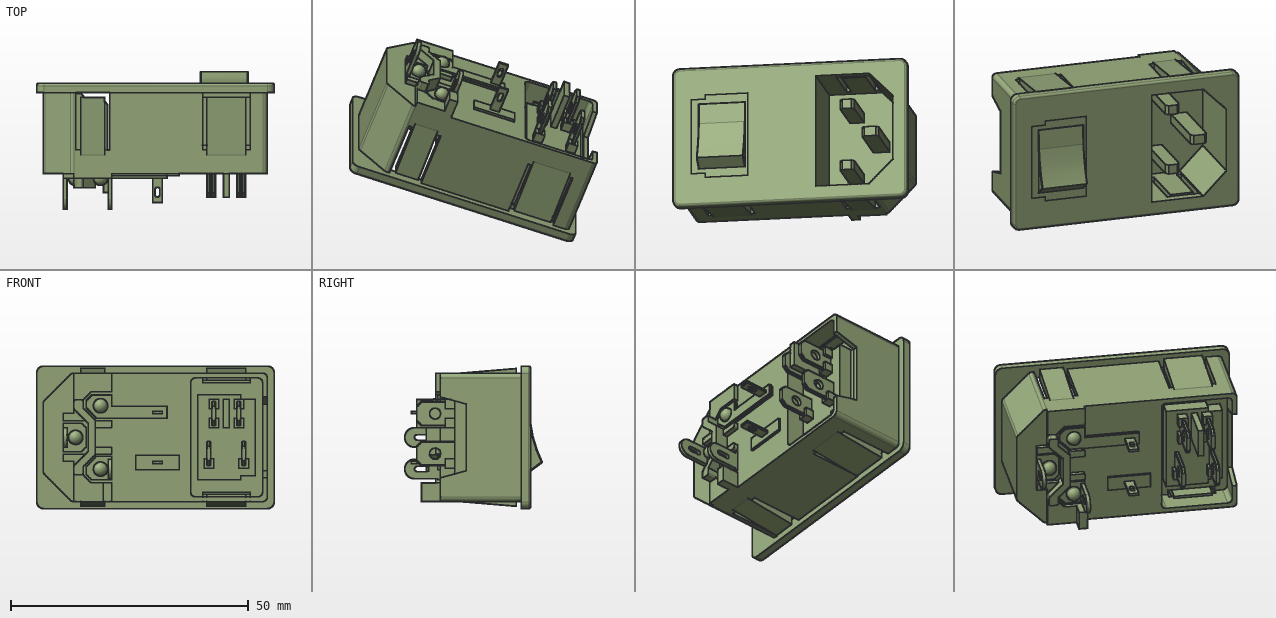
import cadquery as cq
import math


PANEL_LENGTH = 50.0
PANEL_WIDTH = 30.0
PANEL_THICKNESS = 2.0
PANEL_CORNER_RADIUS = 1.5
PANEL_EDGE_RADIUS = 0.5

BODY_REAR = 19.0
BODY_HALF_WIDTH = 13.5
BODY_LEFT = -23.6
BODY_RIGHT = 23.5
BODY_BEVEL = 6.0
BODY_EDGE_RADIUS = 1.0
WALL = 1.0

BAY_LEFT = 7.4
BAY_RIGHT = BODY_RIGHT - WALL
BAY_HALF_WIDTH = BODY_HALF_WIDTH - WALL
BAY_FLOOR = 13.0
BAY_CORNER_RADIUS = 1.0
END_OPENING_START = 13.5
END_OPENING_REAR_HALF_WIDTH = 8.5
END_OPENING_FRONT_HALF_WIDTH = 7.0

INLET_WALL = 1.5
INLET_LENGTH = 16.5
INLET_LEFT = BODY_LEFT + INLET_WALL
INLET_RIGHT = INLET_LEFT + INLET_LENGTH
INLET_HALF_WIDTH = BODY_HALF_WIDTH - INLET_WALL
INLET_DEPTH = 16.0

INLET_CLIP = (-13.2, 7.1, 5.05)
SWITCH_CLIP = (14.9, 10.0, 8.2)
CLIP_FRONT = 3.0
CLIP_REAR = 15.0
CLIP_INNER = 12.0
CLIP_TIP = 14.5
SLOT_REAR = 14.0
SWITCH_RELIEF_INNER = 11.5

DECK_TOP = 20.0
DECK_LEFT = -17.15
DECK_RIGHT = -9.15
DECK_INNER_Z = 9.55
BARRIER_TOP = 22.0
BARRIER_END_X = -15.2
BARRIER_END_Z = 7.9
RIB_SPLIT_Z = 3.55
RIB_WIDTH = 1.5
EARTH_RIB_TOP_Z = RIB_SPLIT_Z + RIB_WIDTH
EARTH_RIB_RIGHT = -14.5
GUIDE_LEFT = -13.0
GUIDE_CORNER_RADIUS = 0.3
BARRIER_CORNER_RADIUS = 0.4
PLATE_TOP = 19.5
LIVE_PAD_INSET = 0.1
RIVET_RADIUS = 1.5
CONTACT_Z = 6.65
CONTACT_OUTER_Z = 8.95
CONTACT_X = -11.55
EARTH_X = -16.8
EARTH_PLATE_LEFT = -19.4
EARTH_PLATE_RIGHT = -14.6
EARTH_PLATE_BEVEL = 0.95
EARTH_PLATE_HALF_WIDTH = 3.0
LIVE_STRIP_RIGHT = 2.45
LIVE_STRIP_INNER = 4.0
LIVE_STRIP_OUTER = 6.55

LUG_THICKNESS = 0.8
LUG_RADIUS = 2.05
LUG_END = 26.5
LUG_SLOT_START = 21.4
LUG_SLOT_END = 24.4
LUG_SLOT_WIDTH = 1.1

FUSE_TAB_X = 0.4
FUSE_TAB_Z = 5.25
FUSE_TAB_WIDTH = 2.05
FUSE_TAB_THICKNESS = 0.5
FUSE_TAB_END = 25.1
FUSE_HOLE_DEPTH = 22.9
FUSE_HOLE_LENGTH = 2.05
FUSE_HOLE_WIDTH = 0.95
FUSE_PAD_LENGTH = 9.1
FUSE_PAD_WIDTH = 3.0

POWER_PIN = (-10.05, 3.0, 3.85)
EARTH_PIN = (-15.05, 3.5, 2.15)
PIN_THICKNESS = 2.0
PIN_TIP_BEVEL_X = 0.55
PIN_TIP_BEVEL_Y = 0.7

POST_WIDTH = 1.8
POST_END = 23.0

SWITCH_LEFT = 8.9
SWITCH_RIGHT = 20.95
SWITCH_STEP_X = 17.95
SWITCH_HALF_WIDTH = 8.95
SWITCH_STEP_HALF_WIDTH = 8.05
SWITCH_REAR = 16.0
BLADE_END = 24.0
BLADE_THICKNESS = 0.8
BLADE_BEVEL = 0.15
BLADE_WIDTH = 5.1
BLADE_CORNER = 1.0
BLADE_HOLE_DEPTH = 20.1
BLADE_HOLE_DIAMETER = 2.3
BLOCK_SIZE = 2.0
BLOCK_TOP = 18.0
UPPER_BLADE_Z = 5.0
LOWER_BLADE_Z = -3.4
UPPER_BLADES_X = (12.25, 17.5)
LOWER_BLADES_X = (11.2, 18.55)
UPPER_BLOCK_OFFSETS = (2.0, -2.0)
LOWER_BLOCK_OFFSETS = (-2.05,)
DIVIDER_X = 14.9
DIVIDER_THICKNESS = 1.25
DIVIDER_WIDTH = 6.0

ROCKER_X = 14.45
ROCKER_LENGTH = 10.0
ROCKER_HALF_WIDTH = 7.05
ROCKER_BASE = 4.0
ROCKER_TIP_Y = 2.45
ROCKER_TIP_Z = -5.25
ROCKER_FACE_MIDDLE = (0.9, -1.35)
ROCKER_FACE_END = (0.0, 2.85)
ROCKER_LOW_EDGE_Y = -0.25
ROCKER_BEVEL = 0.15


def sketch_plane(depth):
    """Plane parallel to the panel; extrusions from it run to the rear."""
    return cq.Workplane("XZ").workplane(offset=depth)


def prism(outline, start, end):
    """Closed X-Z outline between two depths."""
    return sketch_plane(start).polyline(outline).close().extrude(end - start)


def block(x_min, x_max, z_min, z_max, start, end):
    """Box between two depths."""
    return prism([(x_min, z_min), (x_max, z_min), (x_max, z_max), (x_min, z_max)], start, end)


def flipped(outline):
    """The same outline mirrored in Z."""
    return [(x, -z) for x, z in outline]


def flange():
    plate = sketch_plane(0).rect(PANEL_LENGTH, PANEL_WIDTH).extrude(PANEL_THICKNESS)
    plate = plate.edges("|Y").fillet(PANEL_CORNER_RADIUS)
    return plate.faces(">Y").edges().fillet(PANEL_EDGE_RADIUS)


def body_shell():
    bevel_x = BODY_LEFT + BODY_BEVEL
    bevel_z = BODY_HALF_WIDTH - BODY_BEVEL
    outline = [
        (bevel_x, BODY_HALF_WIDTH),
        (BODY_RIGHT, BODY_HALF_WIDTH),
        (BODY_RIGHT, -BODY_HALF_WIDTH),
        (bevel_x, -BODY_HALF_WIDTH),
        (BODY_LEFT, -bevel_z),
        (BODY_LEFT, bevel_z),
    ]
    return prism(outline, PANEL_THICKNESS, BODY_REAR).edges("|Y").fillet(BODY_EDGE_RADIUS)


def switch_bay():
    bay = block(BAY_LEFT, BAY_RIGHT, -BAY_HALF_WIDTH, BAY_HALF_WIDTH, BAY_FLOOR, BODY_REAR)
    return bay.edges("|Y").fillet(BAY_CORNER_RADIUS)


def end_wall_opening():
    """Opening in the right end wall that widens toward the rear."""
    outline = [
        (-END_OPENING_START, -END_OPENING_FRONT_HALF_WIDTH),
        (-END_OPENING_START, END_OPENING_FRONT_HALF_WIDTH),
        (-BODY_REAR, END_OPENING_REAR_HALF_WIDTH),
        (-BODY_REAR, -END_OPENING_REAR_HALF_WIDTH),
    ]
    plane = cq.Workplane("YZ").workplane(offset=BAY_RIGHT - WALL)
    return plane.polyline(outline).close().extrude(BODY_RIGHT - BAY_RIGHT + 2 * WALL)


def inlet_recess():
    """Front recess whose two left corners follow the bevels of the body."""
    recess = block(INLET_LEFT, INLET_RIGHT, -INLET_HALF_WIDTH, INLET_HALF_WIDTH, 0, INLET_DEPTH)
    inner_bevel = BODY_BEVEL - INLET_WALL * (2 - math.sqrt(2))
    return recess.edges("|Y and <X").chamfer(inner_bevel)


def on_both_walls(upper):
    return upper.union(upper.mirror("XY"))


def clip_slots(clip):
    """Slots through the two long walls around the clips."""
    centre, length, _ = clip
    start, end = centre - length / 2, centre + length / 2
    return on_both_walls(block(start, end, CLIP_INNER, BODY_HALF_WIDTH, PANEL_THICKNESS, SLOT_REAR))


def switch_clip_reliefs():
    """Clearance under the clips beside the switch."""
    centre, length, _ = SWITCH_CLIP
    start, end = centre - length / 2, centre + length / 2
    return on_both_walls(block(start, end, SWITCH_RELIEF_INNER, CLIP_INNER, CLIP_FRONT, SLOT_REAR))


def clips(clip):
    """Snap wedges that rise toward the flange."""
    centre, _, length = clip
    profile = [
        (-CLIP_REAR, CLIP_INNER),
        (-CLIP_REAR, BODY_HALF_WIDTH),
        (-CLIP_FRONT, CLIP_TIP),
        (-CLIP_FRONT, CLIP_INNER),
    ]
    plane = cq.Workplane("YZ").workplane(offset=centre - length / 2)
    return on_both_walls(plane.polyline(profile).close().extrude(length))


def inlet_pin(pin, z):
    """Flat pin in the recess with two bevelled tip corners."""
    right, width, tip = pin
    shank = block(right - width, right, z - PIN_THICKNESS / 2, z + PIN_THICKNESS / 2, tip, INLET_DEPTH)
    return shank.faces(">Y").edges("|Z").chamfer(PIN_TIP_BEVEL_Y, PIN_TIP_BEVEL_X)


DECK_OUTLINE = [
    (DECK_LEFT, BODY_HALF_WIDTH),
    (DECK_RIGHT, BODY_HALF_WIDTH),
    (DECK_RIGHT, DECK_INNER_Z),
    (-13.55, DECK_INNER_Z),
    (BARRIER_END_X, BARRIER_END_Z),
    (BARRIER_END_X, EARTH_RIB_TOP_Z),
    (DECK_LEFT, EARTH_RIB_TOP_Z),
]
BARRIER_HALF_OUTLINE = [
    (-12.65, 3.6),
    (BARRIER_END_X, 6.15),
    (BARRIER_END_X, BARRIER_END_Z),
    (DECK_LEFT, BARRIER_END_Z),
    (DECK_LEFT, 5.95),
    (-14.15, 2.95),
]
CONTACT_OUTLINE = [
    (DECK_RIGHT, LIVE_STRIP_INNER),
    (-12.45, LIVE_STRIP_INNER),
    (-14.6, 6.2),
    (-14.6, 7.75),
    (-13.4, CONTACT_OUTER_Z),
    (DECK_RIGHT, CONTACT_OUTER_Z),
]
LIVE_OUTLINE = [
    (LIVE_STRIP_RIGHT, LIVE_STRIP_INNER),
    *CONTACT_OUTLINE[1:],
    (DECK_RIGHT, LIVE_STRIP_OUTER),
    (LIVE_STRIP_RIGHT, LIVE_STRIP_OUTER),
]
EARTH_HALF_OUTLINE = [
    (EARTH_PLATE_LEFT, EARTH_PLATE_HALF_WIDTH),
    (EARTH_PLATE_RIGHT - EARTH_PLATE_BEVEL, EARTH_PLATE_HALF_WIDTH),
    (EARTH_PLATE_RIGHT, EARTH_PLATE_HALF_WIDTH - EARTH_PLATE_BEVEL),
]
EARTH_OUTLINE = EARTH_HALF_OUTLINE + flipped(EARTH_HALF_OUTLINE)[::-1]


def live_plate():
    """Long plate level with the deck, on a pad that is set back slightly all round."""
    pad = sketch_plane(BODY_REAR).polyline(LIVE_OUTLINE).close().offset2D(-LIVE_PAD_INSET, "intersection")
    return pad.extrude(PLATE_TOP - BODY_REAR).union(prism(LIVE_OUTLINE, PLATE_TOP, DECK_TOP))


def rivet(x, z, base):
    """Half-ball rivet head on a round shank that stands on a contact plate."""
    ball = cq.Workplane("XY").sphere(RIVET_RADIUS).translate((x, -DECK_TOP, z))
    reach = 2 * RIVET_RADIUS
    rear_space = block(x - reach, x + reach, z - reach, z + reach, DECK_TOP, DECK_TOP + reach)
    head = ball.intersect(rear_space)
    shank = sketch_plane(base).center(x, z).circle(RIVET_RADIUS).extrude(DECK_TOP - base)
    return head.union(shank)


def solder_lug(x_min, z):
    """Upright lug with a round end and a long slot."""
    plane = cq.Workplane("YZ", origin=(x_min, 0, z))
    arc_start = LUG_RADIUS - LUG_END
    lug = (
        plane.moveTo(-PLATE_TOP, -LUG_RADIUS)
        .lineTo(arc_start, -LUG_RADIUS)
        .threePointArc((-LUG_END, 0), (arc_start, LUG_RADIUS))
        .lineTo(-PLATE_TOP, LUG_RADIUS)
        .close()
        .extrude(LUG_THICKNESS)
    )
    slot_centre = -(LUG_SLOT_START + LUG_SLOT_END) / 2
    slot_length = LUG_SLOT_END - LUG_SLOT_START
    slot = plane.center(slot_centre, 0).slot2D(slot_length, LUG_SLOT_WIDTH).extrude(LUG_THICKNESS)
    return lug.cut(slot)


def fuse_tab(z):
    """Flat tab with a long hole."""
    tab = block(
        FUSE_TAB_X - FUSE_TAB_WIDTH / 2,
        FUSE_TAB_X + FUSE_TAB_WIDTH / 2,
        z - FUSE_TAB_THICKNESS / 2,
        z + FUSE_TAB_THICKNESS / 2,
        BODY_REAR,
        FUSE_TAB_END,
    )
    hole = (
        cq.Workplane("XY", origin=(FUSE_TAB_X, -FUSE_HOLE_DEPTH, z - FUSE_TAB_THICKNESS / 2))
        .slot2D(FUSE_HOLE_LENGTH, FUSE_HOLE_WIDTH, 90)
        .extrude(FUSE_TAB_THICKNESS)
    )
    return tab.cut(hole)


def fuse_pad():
    """Low pad under the fuse tab on the neutral side."""
    plane = sketch_plane(BODY_REAR).center(FUSE_TAB_X, -FUSE_TAB_Z)
    return plane.rect(FUSE_PAD_LENGTH, FUSE_PAD_WIDTH).extrude(PLATE_TOP - BODY_REAR)


def deck_ribs():
    """Short ribs beside the earth plate and beside the two power contacts."""
    earth_rib = block(
        EARTH_PLATE_LEFT, EARTH_RIB_RIGHT, RIB_SPLIT_Z, EARTH_RIB_TOP_Z, BODY_REAR, DECK_TOP
    )
    guide = block(GUIDE_LEFT, DECK_RIGHT, RIB_SPLIT_Z - RIB_WIDTH, RIB_SPLIT_Z, BODY_REAR, DECK_TOP)
    guide = guide.edges("|Y and >X").fillet(GUIDE_CORNER_RADIUS)
    return on_both_walls(earth_rib.union(guide))


def barrier():
    """Tall bent wall between the earth contact and the two power contacts, rounded at both ends."""
    outline = BARRIER_HALF_OUTLINE + flipped(BARRIER_HALF_OUTLINE)[::-1]
    wall = prism(outline, BODY_REAR, BARRIER_TOP)
    wall = wall.faces("<X").edges("|Y").fillet(BARRIER_CORNER_RADIUS)
    return wall.faces(">Z or <Z").edges("|Y and >X").fillet(BARRIER_CORNER_RADIUS)


def terminal_deck():
    deck = prism(DECK_OUTLINE, BODY_REAR, DECK_TOP)
    deck = deck.union(prism(flipped(DECK_OUTLINE), BODY_REAR, DECK_TOP))
    deck = deck.union(barrier()).union(deck_ribs()).union(live_plate())
    for outline in (flipped(CONTACT_OUTLINE), EARTH_OUTLINE):
        deck = deck.union(prism(outline, BODY_REAR, PLATE_TOP))
    deck = deck.union(rivet(CONTACT_X, CONTACT_Z, BODY_REAR))
    deck = deck.union(rivet(CONTACT_X, -CONTACT_Z, PLATE_TOP))
    deck = deck.union(rivet(EARTH_X, 0, PLATE_TOP))
    deck = deck.union(solder_lug(EARTH_PLATE_LEFT, 0))
    deck = deck.union(solder_lug(DECK_RIGHT - LUG_THICKNESS, -CONTACT_Z))
    for z in (FUSE_TAB_Z, -FUSE_TAB_Z):
        deck = deck.union(fuse_tab(z))
    post = block(
        DECK_RIGHT - POST_WIDTH, DECK_RIGHT, -BODY_HALF_WIDTH, -DECK_INNER_Z, BODY_REAR, POST_END
    )
    return deck.union(fuse_pad()).union(post)


def switch_block(start, end):
    """Switch body outline, narrower at its right end."""
    upper = [
        (SWITCH_LEFT, SWITCH_HALF_WIDTH),
        (SWITCH_STEP_X, SWITCH_HALF_WIDTH),
        (SWITCH_STEP_X, SWITCH_STEP_HALF_WIDTH),
        (SWITCH_RIGHT, SWITCH_STEP_HALF_WIDTH),
    ]
    return prism(upper + flipped(upper)[::-1], start, end)


def make_housing():
    housing = flange().union(body_shell())
    housing = housing.cut(switch_bay()).cut(end_wall_opening()).cut(inlet_recess())
    for clip in (INLET_CLIP, SWITCH_CLIP):
        housing = housing.cut(clip_slots(clip))
    housing = housing.cut(switch_clip_reliefs())
    for clip in (INLET_CLIP, SWITCH_CLIP):
        housing = housing.union(clips(clip))
    for pin, z in ((POWER_PIN, CONTACT_Z), (POWER_PIN, -CONTACT_Z), (EARTH_PIN, 0)):
        housing = housing.union(inlet_pin(pin, z))
    housing = housing.union(terminal_deck())
    return housing.cut(switch_block(0, BAY_FLOOR))


def switch_terminal(x, z, block_offsets):
    """Blade with bevelled corners and a round hole, held by small square blocks."""
    plane = cq.Workplane("YZ", origin=(x - BLADE_THICKNESS / 2, 0, z))
    blade = plane.center(-(SWITCH_REAR + BLADE_END) / 2, 0)
    blade = blade.rect(BLADE_END - SWITCH_REAR, BLADE_WIDTH).extrude(BLADE_THICKNESS)
    blade = blade.faces("<Y").edges("|X").chamfer(BLADE_CORNER)
    blade = blade.faces("<X or >X").edges("not |Z or <Y").chamfer(BLADE_BEVEL)
    for offset in block_offsets:
        holder = sketch_plane(SWITCH_REAR).center(x, z + offset).rect(BLOCK_SIZE, BLOCK_SIZE)
        blade = blade.union(holder.extrude(BLOCK_TOP - SWITCH_REAR))
    hole = plane.center(-BLADE_HOLE_DEPTH, 0).circle(BLADE_HOLE_DIAMETER / 2).extrude(BLADE_THICKNESS)
    return blade.cut(hole)


def rocker_seat():
    """Space in the switch front that the rocker fills."""
    half = ROCKER_LENGTH / 2
    return block(
        ROCKER_X - half, ROCKER_X + half, -ROCKER_HALF_WIDTH, ROCKER_HALF_WIDTH, 0, ROCKER_BASE
    )


def make_switch():
    switch = switch_block(0, SWITCH_REAR)
    for x in UPPER_BLADES_X:
        switch = switch.union(switch_terminal(x, UPPER_BLADE_Z, UPPER_BLOCK_OFFSETS))
    for x in LOWER_BLADES_X:
        switch = switch.union(switch_terminal(x, LOWER_BLADE_Z, LOWER_BLOCK_OFFSETS))
    divider = sketch_plane(SWITCH_REAR).center(DIVIDER_X, UPPER_BLADE_Z)
    divider = divider.rect(DIVIDER_THICKNESS, DIVIDER_WIDTH).extrude(BLADE_END - SWITCH_REAR)
    return switch.union(divider).cut(rocker_seat())


def make_rocker():
    """Rocker with a hollow-curved face, pressed in at its +Z edge."""
    plane = cq.Workplane("YZ").workplane(offset=ROCKER_X - ROCKER_LENGTH / 2)
    rocker = (
        plane.moveTo(-ROCKER_BASE, -ROCKER_HALF_WIDTH)
        .lineTo(0, -ROCKER_HALF_WIDTH)
        .lineTo(ROCKER_TIP_Y, ROCKER_TIP_Z)
        .threePointArc(ROCKER_FACE_MIDDLE, ROCKER_FACE_END)
        .lineTo(ROCKER_LOW_EDGE_Y, ROCKER_HALF_WIDTH)
        .lineTo(-ROCKER_BASE, ROCKER_HALF_WIDTH)
        .close()
        .extrude(ROCKER_LENGTH)
    )
    proud_part = cq.selectors.BoxSelector(
        (-PANEL_LENGTH, 0, -PANEL_WIDTH), (PANEL_LENGTH, PANEL_LENGTH, PANEL_WIDTH)
    )
    return rocker.faces("<X or >X").edges(proud_part).chamfer(ROCKER_BEVEL)


housing = make_housing()
switch = make_switch()
rocker = make_rocker()

result = cq.Compound.makeCompound([housing.val(), switch.val(), rocker.val()])